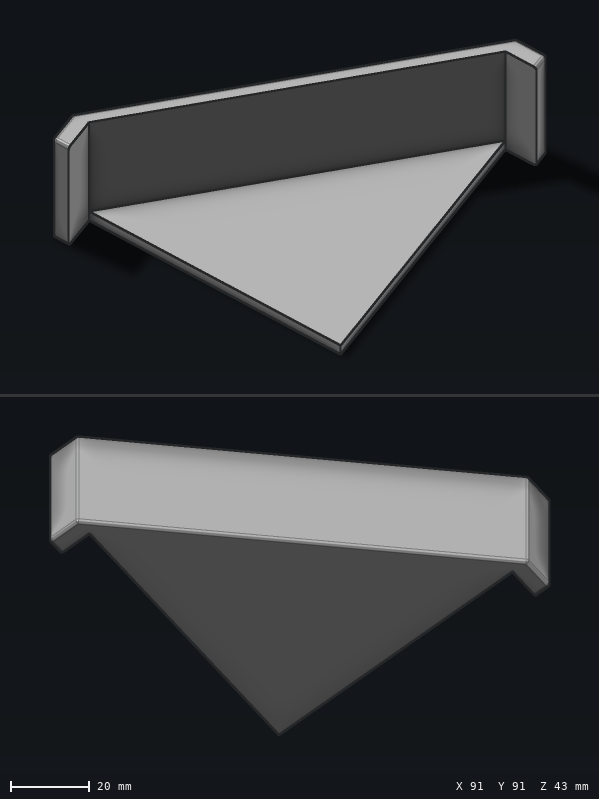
import cadquery as cq

side = 91.0
height = 43.0
leg_length = 9.5
leg_thickness = 5.0
shelf_thickness = 4.0
edge_radius = 1.0

bend = side - leg_length
leg_face = side - leg_thickness
outer_path = [(0, 0), (0, leg_length), (bend, side), (side, side)]
inner_path = [(side, leg_face), (bend, leg_face), (leg_thickness, leg_length), (leg_thickness, 0)]
rounded_path = [inner_path[-1]] + outer_path + [inner_path[0]]


def make_wall():
    """Diagonal wall with a leg at each end, rounded on its outer faces and leg ends."""
    wall = cq.Workplane("XY").polyline(outer_path + inner_path).close().extrude(height)

    edge_middles = [(x, y, height / 2) for x, y in outer_path]
    for (x1, y1), (x2, y2) in zip(rounded_path, rounded_path[1:]):
        for z in (0, height):
            edge_middles.append(((x1 + x2) / 2, (y1 + y2) / 2, z))

    rounded_edges = wall.newObject([])
    for middle in edge_middles:
        rounded_edges = rounded_edges.add(wall.edges(cq.selectors.NearestToPointSelector(middle)))
    return rounded_edges.fillet(edge_radius)


def make_shelf():
    """Flat triangle filling the corner between the wall and the two legs."""
    corners = [(leg_thickness, leg_length), (bend, leg_length), (bend, leg_face)]
    return cq.Workplane("XY").polyline(corners).close().extrude(shelf_thickness)


result = make_wall().union(make_shelf())